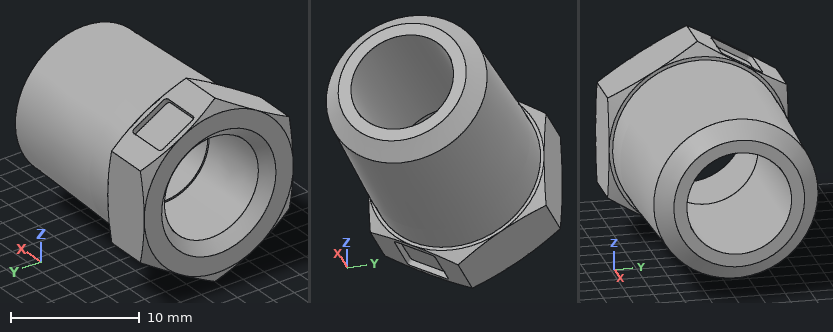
import cadquery as cq
import math

ACROSS_FLATS = 14.2875
HEAD_LENGTH = 4.83
CORNER_CHAMFER_ANGLE = 25.0
ACROSS_CORNERS = ACROSS_FLATS / math.cos(math.radians(30))

TOTAL_LENGTH = 19.05
COLLAR_DIAMETER = 13.724
COLLAR_END = 7.62
PIPE_TAPER = 1 / 16
TIP_CHAMFER_LENGTH = 1.15
TIP_DIAMETER = 10.4

MOUTH_DIAMETER = 10.95
TAPPING_MOUTH_DIAMETER = 9.0
TAPPING_END_DIAMETER = 8.61
THROUGH_DIAMETER = 8.33
COUNTERSINK_DEPTH = (MOUTH_DIAMETER - TAPPING_MOUTH_DIAMETER) / 2

RECESS_SIDE = 3.83
RECESS_DEPTH = 0.5
RECESS_CORNER_RADIUS = 0.3
RECESS_FLAT_ANGLES = (-30, 150)


def revolve_about_x(profile):
    """Solid of revolution from closed (x, radius) points."""
    return cq.Workplane("XZ").polyline(profile).close().revolve(360, (0, 0, 0), (1, 0, 0))


def make_head():
    """Hexagonal prism whose corners are cut by a cone at each end."""
    prism = (
        cq.Workplane("YZ")
        .transformed(rotate=(0, 0, 90))
        .polygon(6, ACROSS_CORNERS)
        .extrude(HEAD_LENGTH)
    )
    end_radius = ACROSS_FLATS / 2
    clearance = 0.5
    envelope_radius = ACROSS_CORNERS / 2 + clearance
    cone_length = (envelope_radius - end_radius) * math.tan(math.radians(CORNER_CHAMFER_ANGLE))
    envelope = revolve_about_x([
        (0, 0),
        (0, end_radius),
        (cone_length, envelope_radius),
        (HEAD_LENGTH - cone_length, envelope_radius),
        (HEAD_LENGTH, end_radius),
        (HEAD_LENGTH, 0),
    ])
    return prism.intersect(envelope)


def make_shank():
    """Collar, tapered thread body and tip chamfer, starting inside the head."""
    taper_end = TOTAL_LENGTH - TIP_CHAMFER_LENGTH
    taper_end_diameter = COLLAR_DIAMETER - (taper_end - COLLAR_END) * PIPE_TAPER
    start = HEAD_LENGTH / 2
    return revolve_about_x([
        (start, 0),
        (start, COLLAR_DIAMETER / 2),
        (COLLAR_END, COLLAR_DIAMETER / 2),
        (taper_end, taper_end_diameter / 2),
        (TOTAL_LENGTH, TIP_DIAMETER / 2),
        (TOTAL_LENGTH, 0),
    ])


def make_bore():
    """Countersink, tapered bore and straight hole as one cutting solid."""
    tapping_length = (TAPPING_MOUTH_DIAMETER - TAPPING_END_DIAMETER) / PIPE_TAPER
    tapping_end = COUNTERSINK_DEPTH + tapping_length
    return revolve_about_x([
        (0, 0),
        (0, MOUTH_DIAMETER / 2),
        (COUNTERSINK_DEPTH, TAPPING_MOUTH_DIAMETER / 2),
        (tapping_end, TAPPING_END_DIAMETER / 2),
        (tapping_end, THROUGH_DIAMETER / 2),
        (TOTAL_LENGTH, THROUGH_DIAMETER / 2),
        (TOTAL_LENGTH, 0),
    ])


def make_recess(flat_angle):
    """Square, round-cornered cutter sunk into the flat at the given angle."""
    floor_height = ACROSS_FLATS / 2 - RECESS_DEPTH
    cutter = (
        cq.Workplane("XY", origin=(HEAD_LENGTH / 2, 0, floor_height))
        .rect(RECESS_SIDE, RECESS_SIDE)
        .extrude(RECESS_DEPTH)
        .edges("|Z")
        .fillet(RECESS_CORNER_RADIUS)
    )
    return cutter.rotate((0, 0, 0), (1, 0, 0), flat_angle)


result = make_head().union(make_shank()).cut(make_bore())
for angle in RECESS_FLAT_ANGLES:
    result = result.cut(make_recess(angle))